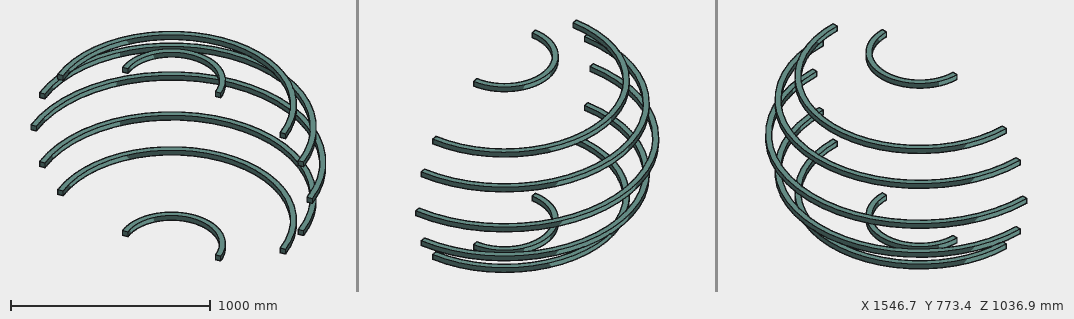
import cadquery as cq

bar_size = 30.0

middle_radius = 773.36
inner_pair_radius = 726.0
outer_pair_radius = 626.0
end_pair_radius = 270.0

overall_height = 1036.88
inner_pair_height = 212.5
outer_pair_height = 356.0
end_pair_height = (overall_height - bar_size) / 2


def half_ring(outer_radius, centre_height):
    """Half ring on the +Y side, with its cut ends on the Y = 0 plane."""
    inner_radius = outer_radius - bar_size
    return (
        cq.Workplane("XY", origin=(0, 0, centre_height - bar_size / 2))
        .moveTo(-outer_radius, 0)
        .threePointArc((0, outer_radius), (outer_radius, 0))
        .lineTo(inner_radius, 0)
        .threePointArc((0, inner_radius), (-inner_radius, 0))
        .close()
        .extrude(bar_size)
    )


def mirrored_pair(outer_radius, centre_height):
    """Two equal half rings, one above and one below the middle ring."""
    return [half_ring(outer_radius, side * centre_height).val() for side in (1, -1)]


middle_ring = half_ring(middle_radius, 0)
inner_pair = mirrored_pair(inner_pair_radius, inner_pair_height)
outer_pair = mirrored_pair(outer_pair_radius, outer_pair_height)
end_pair = mirrored_pair(end_pair_radius, end_pair_height)

result = cq.Compound.makeCompound(
    [middle_ring.val(), *inner_pair, *outer_pair, *end_pair]
)